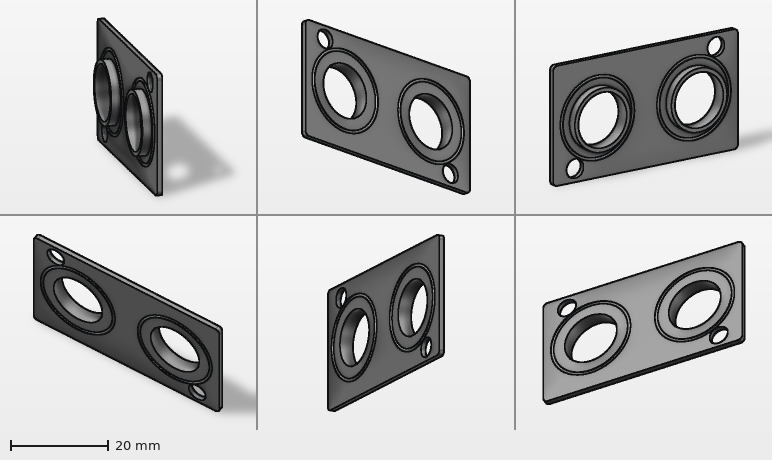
import cadquery as cq

plate_length = 46.0
plate_height = 26.0
plate_thickness = 1.15
corner_radius = 1.0

port_spacing = 24.0
bore_diameter = 12.0
collar_diameter = 13.85
collar_length = 2.0

bead_outer_radius = 9.2
bead_radius = 0.3

hole_diameter = 4.2
hole_x = 17.53
hole_z = 10.05

port_positions = [(-port_spacing / 2, 0), (port_spacing / 2, 0)]
hole_positions = [(-hole_x, -hole_z), (hole_x, hole_z)]


def cylinders(positions, diameter, y_front, y_back):
    """Cylinders along Y at the given (X, Z) positions."""
    return (
        cq.Workplane("XZ", origin=(0, y_back, 0))
        .pushPoints(positions)
        .circle(diameter / 2)
        .extrude(y_back - y_front)
    )


def bead_ring(port_x, face_y, outward):
    """Half-round ring standing on a plate face; outward is the Y sign of that face."""
    inner_radius = bead_outer_radius - 2 * bead_radius
    crest_radius = bead_outer_radius - bead_radius
    root_y = face_y - outward * plate_thickness / 4
    crest_y = face_y + outward * bead_radius
    return (
        cq.Workplane("XY")
        .moveTo(inner_radius, root_y)
        .lineTo(inner_radius, face_y)
        .radiusArc((crest_radius, crest_y), outward * bead_radius)
        .radiusArc((bead_outer_radius, face_y), outward * bead_radius)
        .lineTo(bead_outer_radius, root_y)
        .close()
        .revolve(360, (0, 0, 0), (0, 1, 0))
        .translate((port_x, 0, 0))
    )


plate = (
    cq.Workplane("XZ", origin=(0, plate_thickness, 0))
    .rect(plate_length, plate_height)
    .extrude(plate_thickness)
    .edges("|Y")
    .fillet(corner_radius)
)

result = plate.union(cylinders(port_positions, collar_diameter, -collar_length, plate_thickness))

for port_x, _ in port_positions:
    result = result.union(bead_ring(port_x, 0, -1))
    result = result.union(bead_ring(port_x, plate_thickness, 1))

result = result.cut(cylinders(port_positions, bore_diameter, -collar_length, plate_thickness))
result = result.cut(cylinders(hole_positions, hole_diameter, 0, plate_thickness))